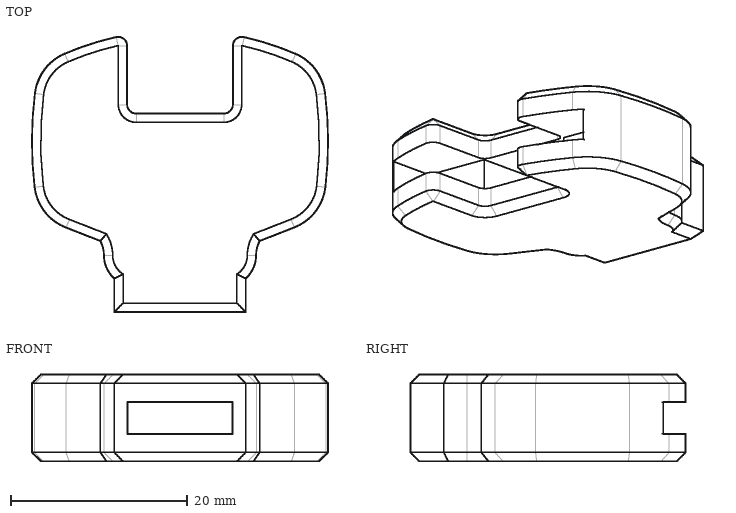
import cadquery as cq
import math

thickness = 9.85
half_width = 16.82
edge_chamfer = 1.0

head_mid_y = 19.35
head_half_length = 8.58
head_near_y = head_mid_y - head_half_length
head_far_y = head_mid_y + head_half_length
corner_half_width = 15.98
dome_apex_y = 32.03
head_corner_radius = 5.65

stem_half_width = 7.47
neck_half_width = 8.65
shoulder_half_width = 9.05
neck_mid_y = 6.43
neck_radius = 3.5

fork_half_width = 6.0
fork_floor_y = 22.55
fork_corner_radius = 1.0
tip_radius = 1.05

channel_half_width = 5.95
channel_height = 3.6
pocket_half_width = 14.2

clearance = 0.35


def neck_arc_point(side, direction, sideways):
    """Point on a neck arc, a sideways step away from where the two arcs meet.

    side is +1 or -1 for the +X or -X flank; direction is +1 for the arc
    flaring out to the head and -1 for the arc rounding in to the stem.
    """
    rise = math.sqrt(neck_radius**2 - (neck_radius - sideways) ** 2)
    x = neck_half_width + direction * sideways
    return side * x, neck_mid_y + direction * rise


def box(half_x, y_start, y_end, height):
    """Box centred on X and Z that spans the given Y range."""
    length = y_end - y_start
    return cq.Workplane("XY").box(2 * half_x, length, height).translate((0, y_start + length / 2, 0))


def fillet_upright_edges(solid, half_x, y_start, y_end, radius):
    """Round the upright edges that lie inside the given X and Y limits."""
    zone = cq.selectors.BoxSelector((-half_x, y_start, -thickness), (half_x, y_end, thickness))
    return solid.edges("|Z").edges(zone).fillet(radius)


def make_blank():
    """Solid stem, neck and head, before the fork is cut."""
    stem_step = neck_half_width - stem_half_width
    shoulder_step = shoulder_half_width - neck_half_width
    stem_mid_step = stem_step / 4
    shoulder_mid_step = shoulder_step / 4
    outline = (
        cq.Workplane("XY")
        .workplane(offset=-thickness / 2)
        .moveTo(-stem_half_width, 0)
        .lineTo(stem_half_width, 0)
        .lineTo(*neck_arc_point(1, -1, stem_step))
        .threePointArc(neck_arc_point(1, -1, stem_mid_step), (neck_half_width, neck_mid_y))
        .threePointArc(neck_arc_point(1, 1, shoulder_mid_step), neck_arc_point(1, 1, shoulder_step))
        .lineTo(corner_half_width, head_near_y)
        .threePointArc((half_width, head_mid_y), (corner_half_width, head_far_y))
        .threePointArc((0, dome_apex_y), (-corner_half_width, head_far_y))
        .threePointArc((-half_width, head_mid_y), (-corner_half_width, head_near_y))
        .lineTo(*neck_arc_point(-1, 1, shoulder_step))
        .threePointArc(neck_arc_point(-1, 1, shoulder_mid_step), (-neck_half_width, neck_mid_y))
        .threePointArc(neck_arc_point(-1, -1, stem_mid_step), neck_arc_point(-1, -1, stem_step))
        .close()
    )
    blank = outline.extrude(thickness)
    corner_start_y = head_near_y - clearance
    corner_end_y = head_far_y + clearance
    return fillet_upright_edges(blank, half_width, corner_start_y, corner_end_y, head_corner_radius)


def cut_fork(solid):
    """Open the fork in the far end and round its inner corners and tips."""
    forked = solid.cut(box(fork_half_width, fork_floor_y, dome_apex_y + clearance, thickness))
    zone_half_x = fork_half_width + clearance
    floor_start_y = fork_floor_y - clearance
    floor_end_y = fork_floor_y + clearance
    forked = fillet_upright_edges(forked, zone_half_x, floor_start_y, floor_end_y, fork_corner_radius)
    return fillet_upright_edges(forked, zone_half_x, head_far_y, dome_apex_y, tip_radius)


def cut_cavity(solid):
    """Cut the channel through the stem and the pocket that splits each prong into two plates."""
    channel = box(channel_half_width, -clearance, fork_floor_y + clearance, channel_height)
    pocket = box(pocket_half_width, fork_floor_y, dome_apex_y, channel_height)
    return solid.cut(channel).cut(pocket)


body = cut_fork(make_blank())
body = body.faces("|Z").edges().chamfer(edge_chamfer)
result = cut_cavity(body)